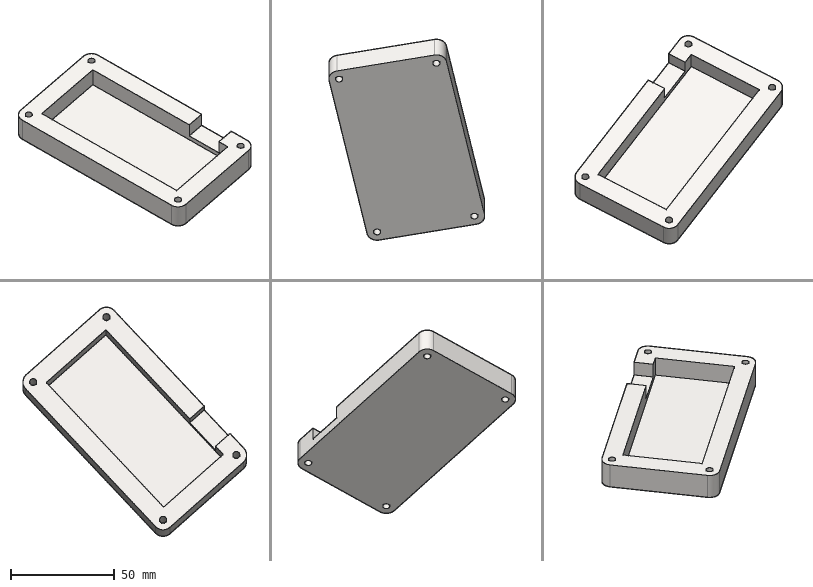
import cadquery as cq

LENGTH = 103.34
WIDTH = 58.1
HEIGHT = 13.0
CORNER_RADIUS = 5.0

WALL = 9.5
POCKET_LENGTH = LENGTH - 2 * WALL
POCKET_WIDTH = WIDTH - 2 * WALL
POCKET_DEPTH = 10.1

NOTCH_LENGTH = 18.5
NOTCH_DEPTH = 7.5
NOTCH_TO_RIGHT_SIDE = 15.0
NOTCH_CENTER_X = LENGTH / 2 - NOTCH_TO_RIGHT_SIDE - NOTCH_LENGTH / 2

HOLE_DIAMETER = 3.4
HOLE_SPACING_X = LENGTH - 2 * CORNER_RADIUS
HOLE_SPACING_Y = WIDTH - 2 * CORNER_RADIUS


def make_block():
    """Rounded rectangular block standing on Z = 0."""
    block = cq.Workplane("XY").box(LENGTH, WIDTH, HEIGHT, centered=(True, True, False))
    return block.edges("|Z").fillet(CORNER_RADIUS)


def make_pocket():
    """Sharp-cornered rectangular cavity cut down from the top face."""
    floor = cq.Workplane("XY").workplane(offset=HEIGHT - POCKET_DEPTH)
    return floor.rect(POCKET_LENGTH, POCKET_WIDTH).extrude(POCKET_DEPTH)


def make_notch():
    """Cable opening from the middle of the pocket out through the +Y wall."""
    notch_width = WIDTH / 2
    floor = cq.Workplane("XY").workplane(offset=HEIGHT - NOTCH_DEPTH)
    outline = floor.center(NOTCH_CENTER_X, notch_width / 2).rect(NOTCH_LENGTH, notch_width)
    return outline.extrude(NOTCH_DEPTH)


def make_screw_holes():
    """Four through holes, one in each corner."""
    pattern = cq.Workplane("XY").rect(HOLE_SPACING_X, HOLE_SPACING_Y, forConstruction=True)
    return pattern.vertices().circle(HOLE_DIAMETER / 2).extrude(HEIGHT)


result = make_block().cut(make_pocket()).cut(make_notch()).cut(make_screw_holes())